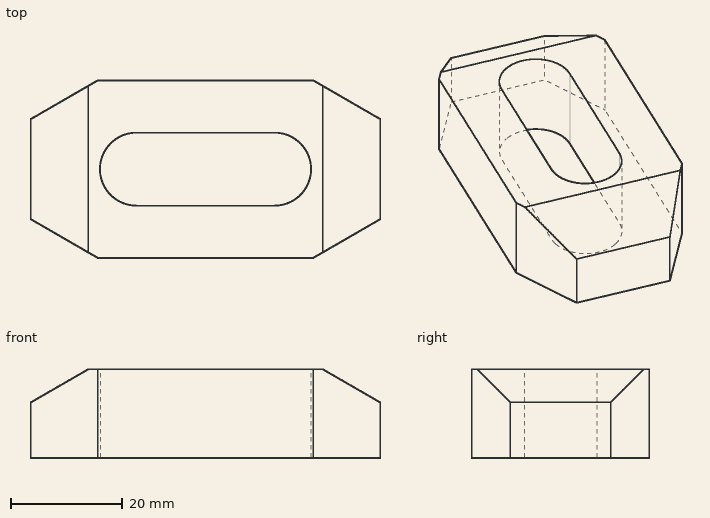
import cadquery as cq
import math

length = 63.0
width = 32.0
height = 16.0

taper_angle = math.radians(30)
nose_width = 18.0
nose_height = 10.0

slot_length = 38.0
slot_width = 13.1

side_taper_length = (width - nose_width) / 2 / math.tan(taper_angle)
top_taper_length = (height - nose_height) / math.tan(taper_angle)


def tapered_plan():
    """Full-height block whose four vertical corners are cut back to the noses."""
    shoulder_x = length / 2 - side_taper_length
    return (
        cq.Workplane("XY")
        .moveTo(-length / 2, -nose_width / 2)
        .lineTo(-shoulder_x, -width / 2)
        .lineTo(shoulder_x, -width / 2)
        .lineTo(length / 2, -nose_width / 2)
        .lineTo(length / 2, nose_width / 2)
        .lineTo(shoulder_x, width / 2)
        .lineTo(-shoulder_x, width / 2)
        .lineTo(-length / 2, nose_width / 2)
        .close()
        .extrude(height)
    )


def sloped_profile():
    """Side profile with the top sloping down to each nose, across the full width."""
    top_x = length / 2 - top_taper_length
    return (
        cq.Workplane("XZ")
        .moveTo(-length / 2, 0)
        .lineTo(length / 2, 0)
        .lineTo(length / 2, nose_height)
        .lineTo(top_x, height)
        .lineTo(-top_x, height)
        .lineTo(-length / 2, nose_height)
        .close()
        .extrude(width / 2, both=True)
    )


def slot():
    """Round-ended slot through the full height."""
    return cq.Workplane("XY").slot2D(slot_length, slot_width).extrude(height)


result = tapered_plan().intersect(sloped_profile()).cut(slot())